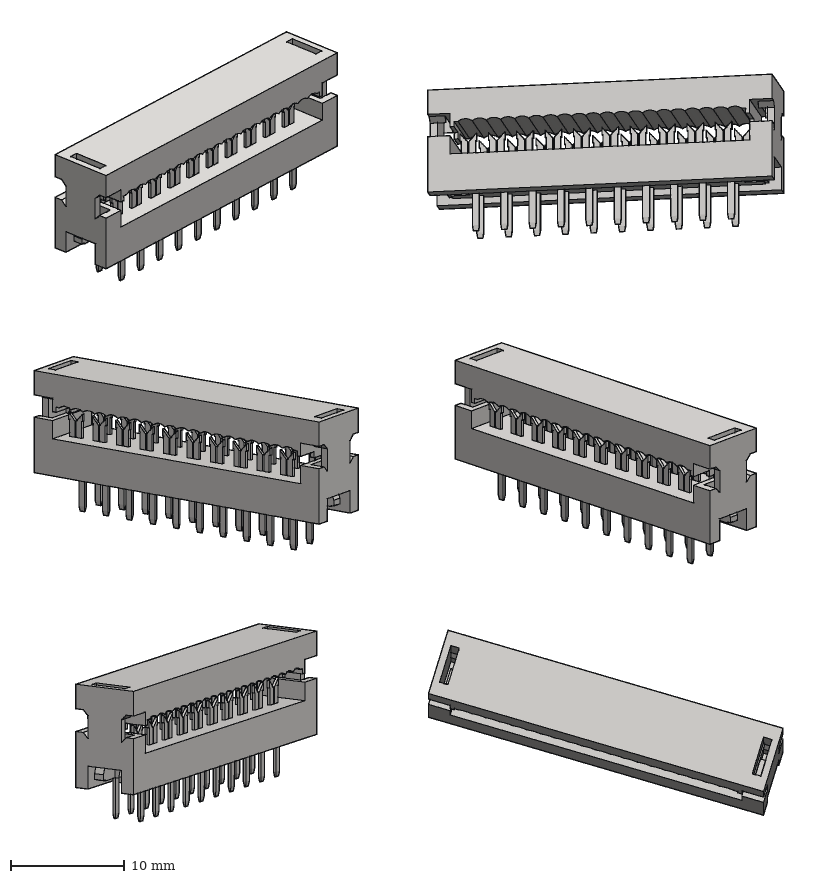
import cadquery as cq


length = 30.85
width = 6.0
body_height = 9.32

contact_count = 20
cable_span = 25.4
cable_pitch = cable_span / contact_count
row_x = cable_pitch

cover_bottom = 7.1
leg_inset = 2.0
leg_thickness = 0.37
leg_bottom = 5.85
toe_half_width = 0.93
toe_bottom = 5.3
cable_roof = 6.32
cable_groove_depth = 0.22

arm_half_width = 1.73
arm_thickness = 0.65
arm_bottom = 2.07
notch_depth = 1.42
hook_height = 0.93
corner_chamfer = 0.5

rib_half_width = 0.8
rib_inset = 0.93
recess_depth = 3.1
ramp_inset = 1.1
ramp_toe = 1.2
ramp_bottom = 0.68

base_top = 5.05
cable_floor = 3.4
channel_roof = 0.6

contact_thickness = 0.28
tine_half_width = 0.65
tip_half_width = 0.75
tip_height = 5.6
shoulder_height = 4.95
vee_bottom = 4.87
slit_half_width = 0.05
pin_width = 0.62
pin_stagger = 0.03
pin_bottom = -3.27
pin_taper_height = 0.45
pin_taper = 0.077


def block(x_half, y_start, y_end, z_start, z_end):
    """Box centred on X = 0 between the given Y and Z limits."""
    return (
        cq.Workplane("XY")
        .box(2 * x_half, y_end - y_start, z_end - z_start, centered=(True, False, False))
        .translate((0, y_start, z_start))
    )


def extrude_along_x(points, x_start, x_end):
    """Prism along X from an outline of (y, z) points."""
    return cq.Workplane("YZ").workplane(offset=x_start).polyline(points).close().extrude(x_end - x_start)


def extrude_along_y(points, y_start, y_end):
    """Prism along Y from an outline of (x, z) points."""
    return cq.Workplane("XZ", origin=(0, y_start, 0)).polyline(points).close().extrude(y_start - y_end)


def both_ends(end_feature):
    """Feature at the -Y end together with its mirror image at the +Y end."""
    return end_feature.union(end_feature.mirror("XZ"))


def flare(wide_z, narrow_z, y_start):
    """Tapered block that widens from the arm width to the chamfered corners."""
    wide = arm_half_width + corner_chamfer
    narrow = arm_half_width
    outline = [(-wide, wide_z), (wide, wide_z), (narrow, narrow_z), (-narrow, narrow_z)]
    return extrude_along_y(outline, y_start, -length / 2 + notch_depth)


def make_cover():
    end_y = -length / 2
    slot_y = end_y + arm_thickness
    inner_y = end_y + notch_depth
    leg_y = end_y + leg_inset
    roof_y = leg_y + leg_thickness
    cover = block(width / 2, end_y, -end_y, cover_bottom, body_height)

    grooves_y = -cable_span / 2
    underside = cq.Workplane("YZ", origin=(-width / 2, 0, 0)).moveTo(roof_y, cover_bottom)
    underside = underside.lineTo(roof_y, cable_roof).lineTo(grooves_y, cable_roof)
    for core in range(contact_count):
        start_y = grooves_y + core * cable_pitch
        crown = (start_y + cable_pitch / 2, cable_roof + cable_groove_depth)
        underside = underside.threePointArc(crown, (start_y + cable_pitch, cable_roof))
    underside = underside.lineTo(-roof_y, cable_roof).lineTo(-roof_y, cover_bottom).close()
    cover = cover.union(underside.extrude(width))

    leg = block(width / 2, leg_y, roof_y, leg_bottom, cover_bottom)
    toe = block(toe_half_width, leg_y, roof_y, toe_bottom, leg_bottom)

    arm = block(arm_half_width, end_y, slot_y, arm_bottom, cover_bottom)
    root = flare(cover_bottom, cover_bottom - corner_chamfer, end_y)
    hook_top = arm_bottom + hook_height
    hook = block(arm_half_width, slot_y, inner_y, arm_bottom, hook_top)
    slot = block(arm_half_width, slot_y, inner_y, hook_top, body_height)
    cover = cover.union(both_ends(leg.union(toe).union(arm).union(root)))
    return cover.cut(both_ends(slot)).union(both_ends(hook))


def make_base():
    end_y = -length / 2
    inner_y = end_y + notch_depth
    channel_y = end_y + leg_inset
    base = block(width / 2, end_y, -end_y, 0, base_top)
    base = base.cut(block(width / 2, channel_y, -channel_y, cable_floor, base_top))
    base = base.cut(block(arm_half_width, end_y, -end_y, 0, channel_roof))

    notch = block(arm_half_width, end_y, inner_y, 0, base_top)
    notch = notch.union(flare(base_top, base_top - corner_chamfer, end_y))
    base = base.cut(both_ends(notch))

    ramp_y = end_y + ramp_inset
    ramp_outline = [
        (inner_y, arm_bottom),
        (ramp_y, ramp_toe),
        (ramp_y, ramp_bottom),
        (inner_y, ramp_bottom),
    ]
    base = base.union(both_ends(extrude_along_x(ramp_outline, -arm_half_width, arm_half_width)))

    rib = block(rib_half_width, end_y + rib_inset, inner_y, arm_bottom, base_top - corner_chamfer)
    recess = block(rib_half_width, end_y, end_y + recess_depth, 0, arm_bottom)
    return base.cut(both_ends(recess)).union(both_ends(rib))


def make_contact():
    """Forked blade standing on the cable floor, centred on the origin in X and Y."""
    half_outline = [
        (slit_half_width, cable_floor),
        (slit_half_width, vee_bottom),
        (tip_half_width, tip_height),
        (tip_half_width, shoulder_height),
        (tine_half_width, shoulder_height),
        (tine_half_width, cable_floor),
    ]
    tine = extrude_along_x(half_outline, -contact_thickness / 2, contact_thickness / 2)
    return tine.union(tine.mirror("XZ"))


def make_pin():
    """Solder pin below the base with a tapered tip, centred on the origin in X and Y."""
    taper_top = pin_bottom + pin_taper_height
    shank = block(contact_thickness / 2, -pin_width / 2, pin_width / 2, taper_top, channel_roof)
    tip = (
        cq.Workplane("XY", origin=(0, 0, taper_top))
        .rect(contact_thickness, pin_width)
        .workplane(offset=-pin_taper_height)
        .rect(contact_thickness - 2 * pin_taper, pin_width - 2 * pin_taper)
        .loft(ruled=True)
    )
    return shank.union(tip)


contact = make_contact()
pin = make_pin()
result = make_base().union(make_cover())

for pair in range(contact_count // 2):
    pair_y = (2 * pair + 1 - contact_count / 2) * cable_pitch
    for side in (-1, 1):
        contact_y = pair_y - side * cable_pitch / 2
        pin_y = pair_y + side * pin_stagger
        result = result.union(contact.translate((side * row_x, contact_y, 0)))
        result = result.union(pin.translate((side * row_x, pin_y, 0)))